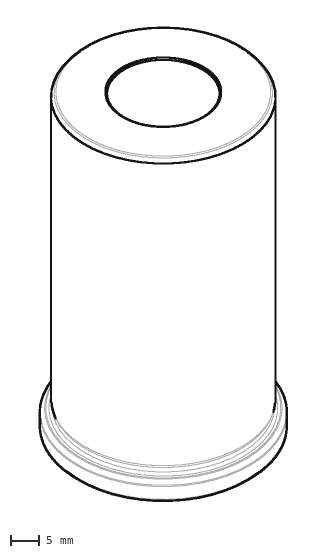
import cadquery as cq

total_height = 75.0
body_radius = 40.0 / 2
flange_radius = 44.0 / 2
bore_radius = 20.0 / 2

flange_height = 5.0
flange_chamfer = 1.0
flange_edge_rounding = 0.3
relief_radius = 39.7 / 2
relief_height = 2.0
relief_taper_height = 0.5
relief_fillet = 0.5

body_chamfer_width = 0.7
body_chamfer_height = 1.0
top_edge_rounding = 0.4
bore_chamfer = 0.3

relief_top = flange_height + relief_height


def outer_body():
    """Revolve the outer half profile, given as (radius, height), about Z."""
    return (
        cq.Workplane("XZ")
        .moveTo(0, 0)
        .lineTo(flange_radius - flange_chamfer, 0)
        .lineTo(flange_radius, flange_chamfer)
        .lineTo(flange_radius, flange_height - flange_chamfer)
        .lineTo(flange_radius - flange_chamfer, flange_height)
        .lineTo(relief_radius + relief_fillet, flange_height)
        .radiusArc((relief_radius, flange_height + relief_fillet), relief_fillet)
        .lineTo(relief_radius, relief_top - relief_taper_height)
        .lineTo(body_radius, relief_top)
        .lineTo(body_radius, total_height - body_chamfer_height)
        .lineTo(body_radius - body_chamfer_width, total_height)
        .lineTo(0, total_height)
        .close()
        .revolve(360, (0, 0, 0), (0, 1, 0))
    )


def round_rims(body, rims, radius):
    """Fillet the circular edges given as (rim radius, height)."""
    slack = 0.01
    for rim_radius, height in rims:
        selector = cq.selectors.BoxSelector(
            (-slack, -slack, height - slack),
            (slack, slack, height + slack),
        )
        circles = body.edges("%CIRCLE").edges(selector)
        rim = circles.filter(lambda edge: abs(edge.radius() - rim_radius) < slack)
        body = body.newObject(rim.vals()).fillet(radius)
    return body


def bore():
    """Through bore, with its upper rim chamfered."""
    hole = cq.Workplane("XY").circle(bore_radius).extrude(total_height)
    rim = (
        cq.Workplane("XY")
        .workplane(offset=total_height - bore_chamfer)
        .circle(bore_radius)
        .workplane(offset=bore_chamfer)
        .circle(bore_radius + bore_chamfer)
        .loft(ruled=True)
    )
    return hole.union(rim)


flange_rims = [
    (flange_radius, flange_chamfer),
    (flange_radius, flange_height - flange_chamfer),
    (flange_radius - flange_chamfer, flange_height),
]
top_rims = [(body_radius - body_chamfer_width, total_height)]

bushing = round_rims(outer_body(), flange_rims, flange_edge_rounding)
bushing = round_rims(bushing, top_rims, top_edge_rounding)
result = bushing.cut(bore())